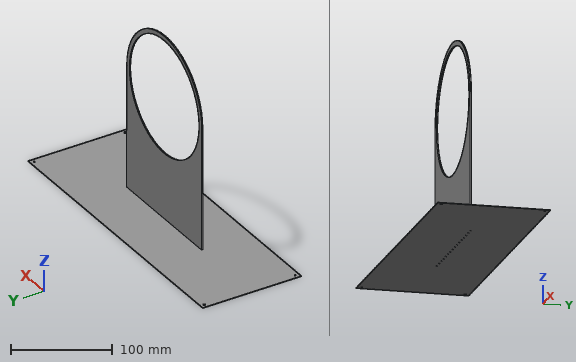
import cadquery as cq

base_length = 325.5
base_width = 114
base_thickness = 0.8

total_height = 210.5
panel_width = 139.7
panel_thickness = 1.45
window_diameter = 129.5

hole_inset = 4.5
large_hole_diameter = 2.2
small_hole_diameter = 1.3

panel_radius = panel_width / 2
arch_center_height = total_height - panel_radius


def make_base():
    plate = cq.Workplane("XY").box(
        base_length, base_width, base_thickness, centered=(True, True, False)
    )
    hole_x = base_length / 2 - hole_inset
    hole_y = base_width / 2 - hole_inset
    large_holes = [(-hole_x, hole_y), (hole_x, -hole_y)]
    small_holes = [(hole_x, hole_y), (-hole_x, -hole_y)]
    for diameter, centers in (
        (large_hole_diameter, large_holes),
        (small_hole_diameter, small_holes),
    ):
        plate = plate.faces(">Z").workplane(origin=(0, 0, 0)).pushPoints(centers).hole(diameter)
    return plate


def make_panel():
    panel = (
        cq.Workplane("XZ")
        .moveTo(-panel_radius, 0)
        .lineTo(panel_radius, 0)
        .lineTo(panel_radius, arch_center_height)
        .threePointArc((0, total_height), (-panel_radius, arch_center_height))
        .close()
        .extrude(panel_thickness / 2, both=True)
    )
    window = (
        cq.Workplane("XZ")
        .center(0, arch_center_height)
        .circle(window_diameter / 2)
        .extrude(panel_thickness, both=True)
    )
    return panel.cut(window)


result = make_base().union(make_panel())